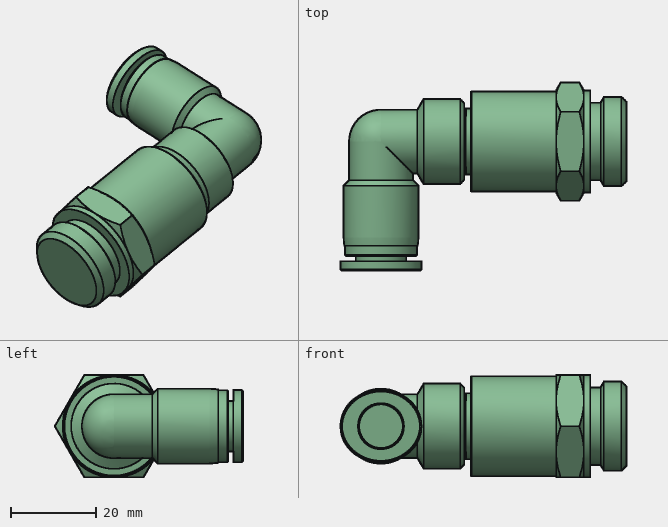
import cadquery as cq
import math


arm_diameter = 15.0
arm_radius = arm_diameter / 2

collar_diameter = 20.0
collar_start = 8.5
collar_end = 19.5
collar_cone_length = 1.5
collar_chamfer = 1.0

sleeve_diameter = 17.6
sleeve_start = 9.0
sleeve_cone_length = (sleeve_diameter - arm_diameter) / 2
sleeve_arc_start = 22.4
sleeve_end = 24.4
sleeve_end_diameter = 17.2

guide_diameter = 16.9
guide_end = 26.8
guide_chamfer = 0.3

tube_bore_diameter = 10.2
bore_chamfer = 0.3
stem_diameter = 11.9
flange_start = 28.0
flange_end = 30.3
flange_width = 19.0
flange_height = 17.0
flange_chamfer = 0.4

neck_diameter = 12.0
boss_diameter = 15.5
boss_start = 19.85
barrel_diameter = 23.5
barrel_start = 21.0
barrel_chamfer = 0.2
hex_across_flats = 24.0
hex_across_corners = hex_across_flats / math.cos(math.pi / 6)
hex_start = 41.0
hex_end = 47.5
hex_chamfer_angle = math.radians(30)
shoulder_end = 49.0
relief_diameter = 18.2
relief_end = 51.4
thread_diameter = 20.96
thread_cone_length = 0.8
thread_end = 57.5
thread_chamfer = 1.2


def turned(points):
    """Revolve an (axial, radius) outline about the X axis."""
    return cq.Workplane("XY").polyline(points).close().revolve(360, (0, 0, 0), (1, 0, 0))


def disc_along_tube(diameter, start, end):
    """Cylinder on the tube arm axis between two distances from the origin."""
    return cq.Workplane("XZ", origin=(0, -start, 0)).circle(diameter / 2).extrude(end - start)


def make_elbow():
    collar_radius = collar_diameter / 2
    stud_arm = turned([
        (0, 0),
        (0, arm_radius),
        (collar_start, arm_radius),
        (collar_start + collar_cone_length, collar_radius),
        (collar_end - collar_chamfer, collar_radius),
        (collar_end, collar_radius - collar_chamfer),
        (collar_end, 0),
    ])

    sleeve_radius = sleeve_diameter / 2
    tube_arm = (
        cq.Workplane("XY")
        .lineTo(arm_radius, 0)
        .lineTo(arm_radius, -sleeve_start)
        .lineTo(sleeve_radius, -sleeve_start - sleeve_cone_length)
        .lineTo(sleeve_radius, -sleeve_arc_start)
        .tangentArcPoint((sleeve_end_diameter / 2, -sleeve_end), relative=False)
        .lineTo(0, -sleeve_end)
        .close()
        .revolve(360, (0, 0, 0), (0, 1, 0))
    )
    corner = cq.Workplane("XY").sphere(arm_radius)
    socket = disc_along_tube(tube_bore_diameter, sleeve_start + sleeve_cone_length, sleeve_end)
    return stud_arm.union(tube_arm).union(corner).cut(socket)


def make_guide():
    guide = disc_along_tube(guide_diameter, sleeve_end, guide_end).faces("<Y").edges().chamfer(guide_chamfer)
    return guide.cut(disc_along_tube(stem_diameter, sleeve_end, guide_end))


def make_release_ring():
    flange = (
        cq.Workplane("XZ", origin=(0, -flange_start, 0))
        .ellipse(flange_width / 2, flange_height / 2)
        .extrude(flange_end - flange_start)
        .faces("<Y").edges().chamfer(flange_chamfer)
    )
    stem = disc_along_tube(stem_diameter, sleeve_end, flange_start)
    bore = disc_along_tube(tube_bore_diameter, sleeve_end, flange_end)
    ring = flange.union(stem).cut(bore)
    return ring.faces("<Y").edges("%CIRCLE").chamfer(bore_chamfer)


def make_hexagon():
    """Hexagon with corners on +Y and -Y, its corners cut by a cone at each end."""
    prism = (
        cq.Workplane("YZ", origin=(hex_start, 0, 0))
        .polygon(6, hex_across_corners)
        .extrude(hex_end - hex_start)
    )
    flat_radius = hex_across_flats / 2
    corner_radius = hex_across_corners / 2
    cut_length = (corner_radius - flat_radius) * math.tan(hex_chamfer_angle)
    envelope = turned([
        (hex_start, 0),
        (hex_start, flat_radius),
        (hex_start + cut_length, corner_radius),
        (hex_end - cut_length, corner_radius),
        (hex_end, flat_radius),
        (hex_end, 0),
    ])
    return prism.intersect(envelope)


def make_stud():
    barrel_radius = barrel_diameter / 2
    shoulder_radius = hex_across_flats / 2
    relief_radius = relief_diameter / 2
    thread_radius = thread_diameter / 2
    spindle = turned([
        (collar_end, 0),
        (collar_end, neck_diameter / 2),
        (boss_start, neck_diameter / 2),
        (boss_start, boss_diameter / 2),
        (barrel_start, boss_diameter / 2),
        (barrel_start, barrel_radius - barrel_chamfer),
        (barrel_start + barrel_chamfer, barrel_radius),
        (hex_end, barrel_radius),
        (hex_end, shoulder_radius),
        (shoulder_end, shoulder_radius),
        (shoulder_end, relief_radius),
        (relief_end, relief_radius),
        (relief_end + thread_cone_length, thread_radius),
        (thread_end - thread_chamfer, thread_radius),
        (thread_end, thread_radius - thread_chamfer),
        (thread_end, 0),
    ])
    return spindle.union(make_hexagon())


elbow = make_elbow()
guide = make_guide()
release_ring = make_release_ring()
stud = make_stud()

result = cq.Compound.makeCompound([elbow.val(), guide.val(), release_ring.val(), stud.val()])